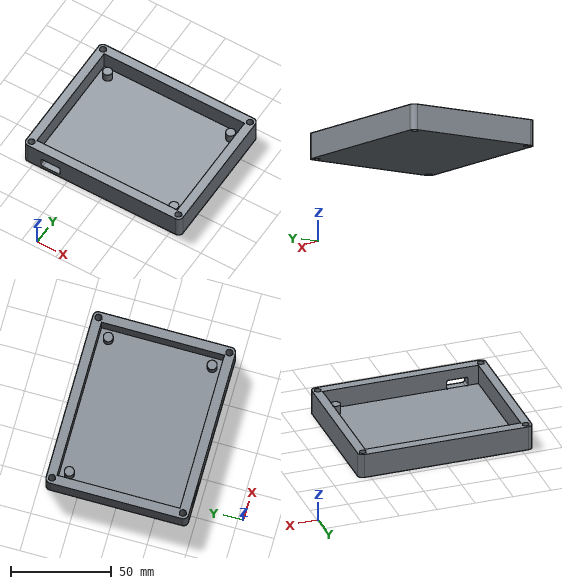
import cadquery as cq

length = 91.8
width = 73.5
height = 13.0
corner_radius = 2.7

end_wall = 4.9
side_wall = 5.05
floor_thickness = 2.7

screw_diameter = 3.4
screw_spacing_x = 85.9
screw_spacing_y = 67.6

post_diameter = 5.0
post_height = 5.0
post_spacing_x = 72.0
post_spacing_y = 53.6

port_left_offset = 10.4
port_width = 11.2
port_bottom = 2.0
port_height = 5.2
port_corner_radius = 1.0


def make_block():
    block = cq.Workplane("XY").box(length, width, height, centered=(True, True, False))
    return block.edges("|Z").fillet(corner_radius)


def make_cavity():
    return (
        cq.Workplane("XY", origin=(0, 0, floor_thickness))
        .rect(length - 2 * end_wall, width - 2 * side_wall)
        .extrude(height - floor_thickness)
    )


def make_screw_holes():
    return (
        cq.Workplane("XY")
        .rect(screw_spacing_x, screw_spacing_y, forConstruction=True)
        .vertices()
        .circle(screw_diameter / 2)
        .extrude(height)
    )


def make_posts():
    x = post_spacing_x / 2
    y = post_spacing_y / 2
    return (
        cq.Workplane("XY")
        .pushPoints([(-x, y), (x, y), (x, -y)])
        .circle(post_diameter / 2)
        .extrude(floor_thickness + post_height)
    )


def make_port():
    center_x = -length / 2 + port_left_offset + port_width / 2
    center_y = -width / 2 + side_wall / 2
    center_z = port_bottom + port_height / 2
    port = cq.Workplane("XY").box(port_width, side_wall, port_height)
    return port.edges("|Y").fillet(port_corner_radius).translate((center_x, center_y, center_z))


result = (
    make_block()
    .cut(make_cavity())
    .union(make_posts())
    .cut(make_screw_holes())
    .cut(make_port())
)